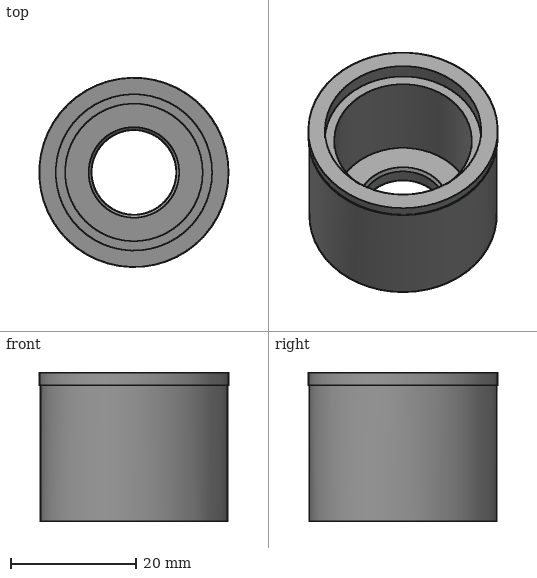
import cadquery as cq

height = 23.8
collar_diameter = 30.3
collar_height = 2.0
body_diameter = 30.0
counterbore_diameter = 25.0
counterbore_depth = 2.9
bore_diameter = 22.0
floor_thickness = 3.03
hole_diameter = 13.5
hole_chamfer = 0.48

collar_radius = collar_diameter / 2
body_radius = body_diameter / 2
counterbore_radius = counterbore_diameter / 2
bore_radius = bore_diameter / 2
hole_radius = hole_diameter / 2
collar_bottom = height - collar_height
counterbore_floor = height - counterbore_depth

section = (
    cq.Workplane("XZ")
    .moveTo(hole_radius, 0)
    .lineTo(body_radius, 0)
    .lineTo(body_radius, collar_bottom)
    .lineTo(collar_radius, collar_bottom)
    .lineTo(collar_radius, height)
    .lineTo(counterbore_radius, height)
    .lineTo(counterbore_radius, counterbore_floor)
    .lineTo(bore_radius, counterbore_floor)
    .lineTo(bore_radius, floor_thickness)
    .lineTo(hole_radius + hole_chamfer, floor_thickness)
    .lineTo(hole_radius, floor_thickness - hole_chamfer)
    .close()
)

result = section.revolve(360, (0, 0, 0), (0, 1, 0))